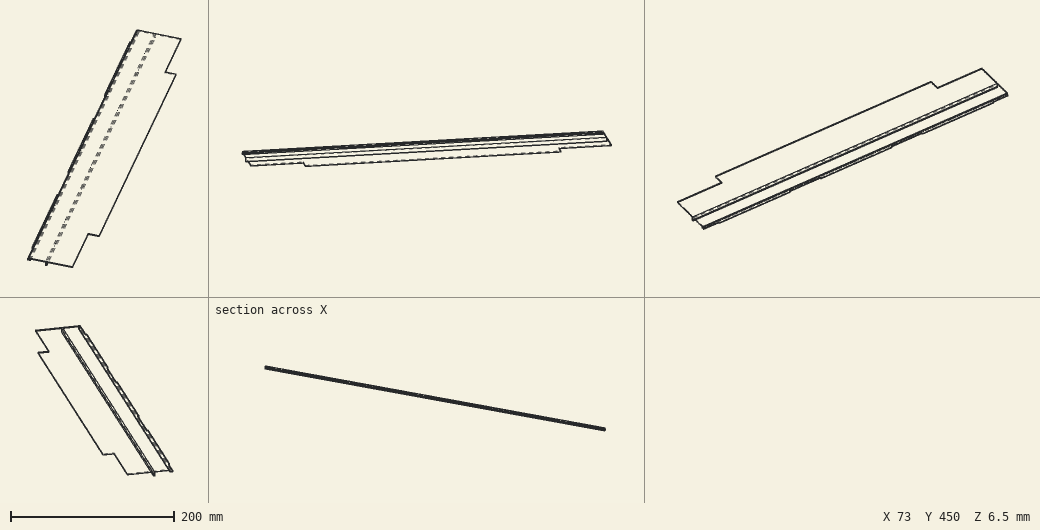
import cadquery as cq

total_width = 73.0
total_length = 450.0
total_height = 6.5

plate_left = 2.5
plate_thickness = 1.5
rib_overhang = 0.5
plate_length = total_length - rib_overhang
narrow_right = 59.0
wide_length = 318.5

wall_width = 1.5
ledge_left = 1.5
ledge_right = 5.0
ledge_bottom = -3.5
ledge_thickness = 1.5
ledge_top = ledge_bottom + ledge_thickness
tab_length = 105.0
tab_pitch = 150.5
tab_count = 3

rib_left = 24.5
rib_width = 2.0


def block(left, right, length, bottom, top, y_center=0.0):
    """Box between the given X and Z limits, centred along Y on y_center."""
    return (
        cq.Workplane("XY")
        .box(right - left, length, top - bottom, centered=(False, True, False))
        .translate((left, y_center, bottom))
    )


def cover_plate():
    narrow = block(plate_left, narrow_right, plate_length, -plate_thickness, 0)
    wide = block(plate_left, total_width, wide_length, -plate_thickness, 0)
    return narrow.union(wide)


def tabbed_ledge():
    wall = block(plate_left, plate_left + wall_width, plate_length, ledge_bottom, -plate_thickness)
    ledge = wall.union(block(ledge_left, ledge_right, plate_length, ledge_bottom, ledge_top))
    for index in range(tab_count):
        y_center = (index - (tab_count - 1) / 2) * tab_pitch
        ledge = ledge.union(block(0, ledge_right, tab_length, ledge_bottom, ledge_top, y_center))
    return ledge


def rib():
    rib_right = rib_left + rib_width
    return block(
        rib_left, rib_right, total_length, -total_height, -plate_thickness, -rib_overhang / 2
    )


result = cover_plate().union(tabbed_ledge()).union(rib())